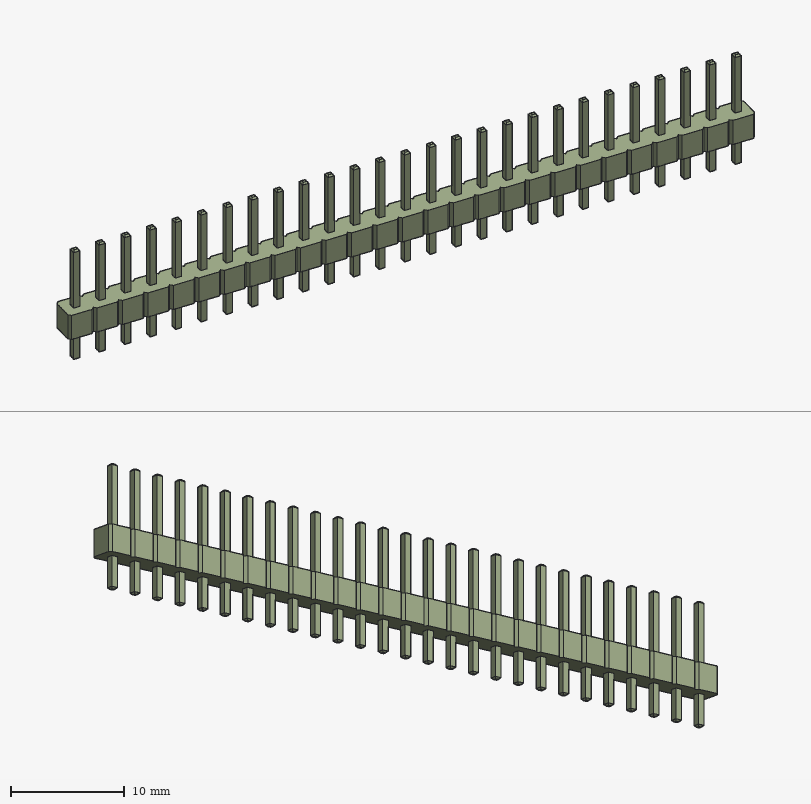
import cadquery as cq

pin_count = 27
row_length = 68.6
pitch = row_length / pin_count
body_height = pitch
corner_chamfer = pitch / 10

pin_width = 0.64
pin_length = 11.5
pin_tip_chamfer = pin_width / 4

above_to_below = 2
pin_below = (pin_length - body_height) / (above_to_below + 1)


def block():
    """Square insulator block with chamfered upright corners, resting on Z = 0."""
    return (
        cq.Workplane("XY")
        .rect(pitch, pitch)
        .extrude(body_height)
        .edges("|Z")
        .chamfer(corner_chamfer)
    )


def pin():
    """Square pin through the block, with all edges of both end faces chamfered."""
    return (
        cq.Workplane("XY")
        .workplane(offset=-pin_below)
        .rect(pin_width, pin_width)
        .extrude(pin_length)
        .faces("<Z or >Z")
        .edges()
        .chamfer(pin_tip_chamfer)
    )


station = block().union(pin())
first_station_y = (pitch - row_length) / 2

result = cq.Workplane("XY")
for index in range(pin_count):
    station_y = first_station_y + index * pitch
    result = result.union(station.translate((0, station_y, 0)))